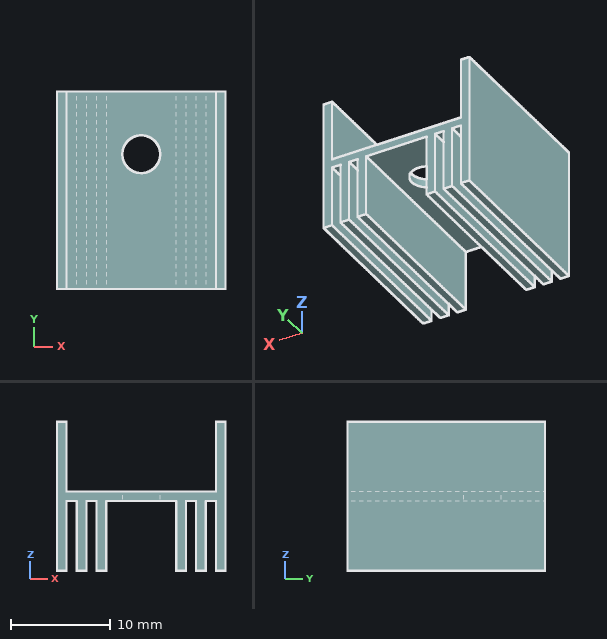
import cadquery as cq

width = 17.0
length = 19.92
height = 15.0

plate_thickness = 1.0
fin_pitch = 2.0
inner_fins_per_side = 2

hole_diameter = 3.78
hole_to_back_edge = 6.33

outer_wall_x = (width - plate_thickness) / 2
web_bottom = -plate_thickness / 2
fin_height = height / 2 + web_bottom


def upright(x, plate_height):
    """Full-length vertical plate centred at x, standing on the bottom plane."""
    return (
        cq.Workplane("XY", origin=(x, 0, -height / 2))
        .box(plate_thickness, length, plate_height, centered=(True, True, False))
    )


web = (
    cq.Workplane("XY")
    .box(width, length, plate_thickness)
    .faces(">Z")
    .workplane()
    .center(0, length / 2 - hole_to_back_edge)
    .hole(hole_diameter)
)

result = web
for side in (-1, 1):
    result = result.union(upright(side * outer_wall_x, height))
    for fin in range(1, inner_fins_per_side + 1):
        fin_x = side * (outer_wall_x - fin * fin_pitch)
        result = result.union(upright(fin_x, fin_height))